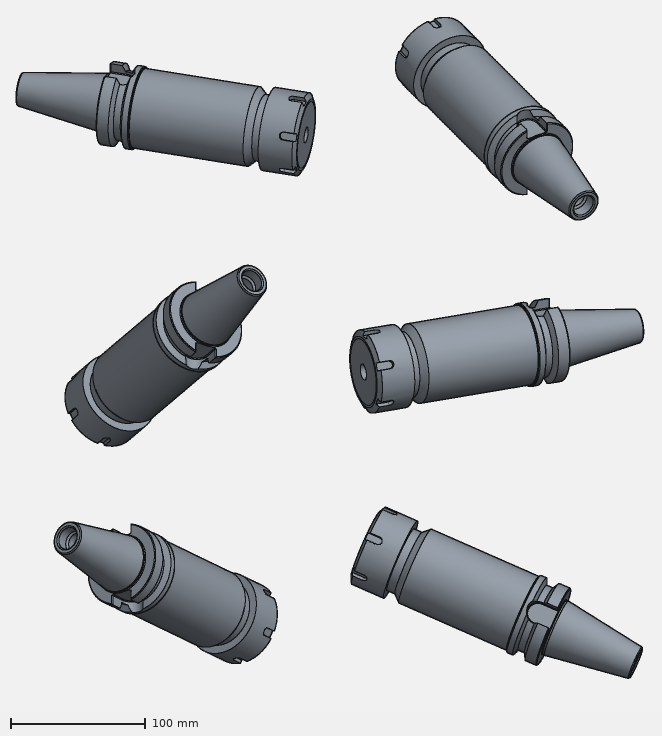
import cadquery as cq
import math


TAPER_RATIO = 7 / 24
TAPER_D = 44.5
TAPER_END_X = 65.2
TAPER_CHAMFER = 0.9
RELIEF_D = 44.0
RELIEF_FLARE = 0.7

FLANGE_D = 63.0
FLANGE_X = 67.1
FLANGE_FRONT_CHAMFER = 0.7
GROOVE_D = 53.0
GROOVE_START_X = 76.6
GROOVE_FLOOR_START_X = 79.3
GROOVE_FLOOR_END_X = 84.5
GROOVE_END_X = 86.8
FLANGE_END_X = 92.0
FLANGE_REAR_CHAMFER = 0.7
FLANGE_ROOT_CHAMFER = 0.5

KEYWAY_WIDTH = 16.8
KEYWAY_FLOOR = 22.3
KEYWAY_TIP_X = 88.5
KEYWAY_CORNER = 0.7

BODY_D = 60.3
BODY_END_X = 180.5
NECK_D = 50.4
NECK_START_X = 185.7

MOUTH_D = 19.0
COUNTERBORE_D = 17.0
COUNTERBORE_DEPTH = 9.5
THREAD_D = 14.0
THREAD_END_X = 17.7
BORE_D = 12.0

NUT_D = 63.0
NUT_X = 192.4
NUT_END_X = 220.8
NUT_FACE_D = 53.9
NUT_CHAMFER_X = 218.5
SLOT_COUNT = 6
SLOT_WIDTH = 6.0
SLOT_FLOOR = 28.3
SLOT_TIP_X = 207.5

CUTTER_HEIGHT = FLANGE_D / 2


def turned(points):
    """Solid of revolution about X from its (x, radius) outline."""
    return cq.Workplane("XY").polyline(points).close().revolve(360, (0, 0, 0), (1, 0, 0))


def round_ended_slot(tip_x, end_x, width, floor):
    """Cutter on the +Z side, with a round end at tip_x and a square end at end_x."""
    radius = width / 2
    round_x = tip_x + math.copysign(radius, end_x - tip_x)
    return (
        cq.Workplane("XY", origin=(0, 0, floor))
        .moveTo(end_x, -radius)
        .lineTo(round_x, -radius)
        .threePointArc((tip_x, 0), (round_x, radius))
        .lineTo(end_x, radius)
        .close()
        .extrude(CUTTER_HEIGHT)
    )


def keyway_cutter():
    """Keyway with chamfered floor corners and broken edges where it opens in the flange face."""
    slot = round_ended_slot(KEYWAY_TIP_X, FLANGE_X, KEYWAY_WIDTH, KEYWAY_FLOOR)
    slot = slot.faces("<Z").edges("not <X").chamfer(KEYWAY_CORNER)
    half_width = KEYWAY_WIDTH / 2
    mouth = (
        cq.Workplane("XY", origin=(0, 0, KEYWAY_FLOOR + KEYWAY_CORNER))
        .moveTo(FLANGE_X, -half_width - FLANGE_FRONT_CHAMFER)
        .lineTo(FLANGE_X + FLANGE_FRONT_CHAMFER, -half_width)
        .lineTo(FLANGE_X + FLANGE_FRONT_CHAMFER, half_width)
        .lineTo(FLANGE_X, half_width + FLANGE_FRONT_CHAMFER)
        .close()
        .extrude(CUTTER_HEIGHT)
    )
    return slot.union(mouth)


def about_axis(shape, angle):
    return shape.rotate((0, 0, 0), (1, 0, 0), angle)


def bore_cutter():
    """Through bore with the chamfered mouth, counterbore and thread hole of the small end."""
    mouth_depth = (MOUTH_D - COUNTERBORE_D) / 2
    thread_lead_in = (COUNTERBORE_D - THREAD_D) / 2
    bore_lead_in = (THREAD_D - BORE_D) / 2
    return turned([
        (0, 0),
        (0, MOUTH_D / 2),
        (mouth_depth, COUNTERBORE_D / 2),
        (COUNTERBORE_DEPTH, COUNTERBORE_D / 2),
        (COUNTERBORE_DEPTH + thread_lead_in, THREAD_D / 2),
        (THREAD_END_X, THREAD_D / 2),
        (THREAD_END_X + bore_lead_in, BORE_D / 2),
        (NUT_END_X, BORE_D / 2),
        (NUT_END_X, 0),
    ])


def make_holder():
    small_end_r = (TAPER_D - TAPER_RATIO * (TAPER_END_X - TAPER_CHAMFER)) / 2
    flange_r = FLANGE_D / 2
    body_r = BODY_D / 2
    holder = turned([
        (0, 0),
        (0, small_end_r - TAPER_CHAMFER),
        (TAPER_CHAMFER, small_end_r),
        (TAPER_END_X, TAPER_D / 2),
        (TAPER_END_X, RELIEF_D / 2),
        (FLANGE_X - RELIEF_FLARE, RELIEF_D / 2),
        (FLANGE_X, RELIEF_D / 2 + RELIEF_FLARE),
        (FLANGE_X, flange_r - FLANGE_FRONT_CHAMFER),
        (FLANGE_X + FLANGE_FRONT_CHAMFER, flange_r),
        (GROOVE_START_X, flange_r),
        (GROOVE_FLOOR_START_X, GROOVE_D / 2),
        (GROOVE_FLOOR_END_X, GROOVE_D / 2),
        (GROOVE_END_X, flange_r),
        (FLANGE_END_X - FLANGE_REAR_CHAMFER, flange_r),
        (FLANGE_END_X, flange_r - FLANGE_REAR_CHAMFER),
        (FLANGE_END_X, body_r + FLANGE_ROOT_CHAMFER),
        (FLANGE_END_X + FLANGE_ROOT_CHAMFER, body_r),
        (BODY_END_X, body_r),
        (NECK_START_X, NECK_D / 2),
        (NUT_END_X, NECK_D / 2),
        (NUT_END_X, 0),
    ])
    holder = holder.cut(bore_cutter())
    keyway = keyway_cutter()
    for angle in (0, 180):
        holder = holder.cut(about_axis(keyway, angle))
    return holder


def make_nut():
    nut = turned([
        (NUT_X, NECK_D / 2),
        (NUT_X, NUT_D / 2),
        (NUT_CHAMFER_X, NUT_D / 2),
        (NUT_END_X, NUT_FACE_D / 2),
        (NUT_END_X, NECK_D / 2),
    ])
    slot = round_ended_slot(SLOT_TIP_X, NUT_END_X, SLOT_WIDTH, SLOT_FLOOR)
    for i in range(SLOT_COUNT):
        nut = nut.cut(about_axis(slot, i * 360 / SLOT_COUNT))
    return nut


holder = make_holder()
nut = make_nut()
result = cq.Compound.makeCompound([holder.val(), nut.val()])